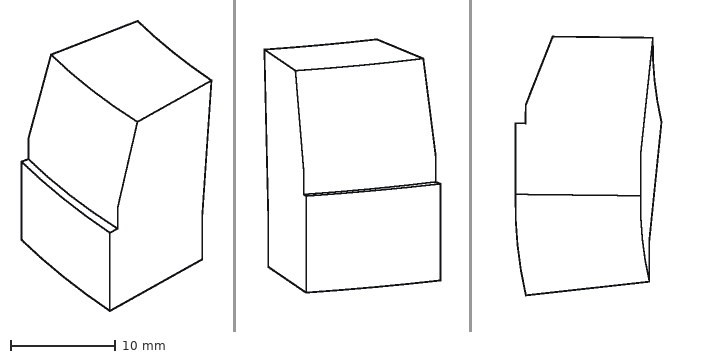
import cadquery as cq
import math

height = 21.12
outer_radius = 80.36
top_inner_radius = 67.16
base_inner_radius = 68.35
inner_straight_height = 5.5

start_angle = 235.0
sweep_angle = 10.0

ledge_height = 9.5
slope_start_height = 11.98
slope_inset = 2.58
neck_radius = 65.47
start_ledge_depth = 0.78
end_ledge_depth = 1.0

clearance = 4.22


def polar_point(radius, angle):
    """Plan point at a radius from the origin and an angle in degrees."""
    angle_rad = math.radians(angle)
    return radius * math.cos(angle_rad), radius * math.sin(angle_rad)


def revolve_section(points, angle):
    """Revolve (radius, height) points about the vertical axis."""
    return cq.Workplane("XZ").polyline(points).close().revolve(angle, (0, 0), (0, 1))


def ring_segment():
    """Segment with a leaning inner wall and a plain upright outer wall."""
    section = [
        (base_inner_radius, 0),
        (outer_radius, 0),
        (outer_radius, height),
        (top_inner_radius, height),
        (base_inner_radius, inner_straight_height),
    ]
    return revolve_section(section, sweep_angle).rotate((0, 0, 0), (0, 0, 1), start_angle)


def neck_axis():
    """Plan centre of the neck arc, which joins the two ledge ends."""
    start_x, start_y = polar_point(outer_radius - start_ledge_depth, start_angle)
    end_x, end_y = polar_point(outer_radius - end_ledge_depth, start_angle + sweep_angle)
    chord_x = end_x - start_x
    chord_y = end_y - start_y
    chord = math.hypot(chord_x, chord_y)
    center_distance = math.sqrt(neck_radius**2 - (chord / 2) ** 2)
    center_x = (start_x + end_x) / 2 - center_distance * chord_y / chord
    center_y = (start_y + end_y) / 2 + center_distance * chord_x / chord
    return center_x, center_y


def upper_trim():
    """Ring of material outside the neck and the sloping face."""
    far_radius = neck_radius + clearance
    top = height + clearance
    top_outer_radius = neck_radius - slope_inset
    section = [
        (neck_radius, ledge_height),
        (far_radius, ledge_height),
        (far_radius, top),
        (top_outer_radius, top),
        (top_outer_radius, height),
        (neck_radius, slope_start_height),
    ]
    axis_x, axis_y = neck_axis()
    return revolve_section(section, 360).translate((axis_x, axis_y, 0))


result = ring_segment().cut(upper_trim())